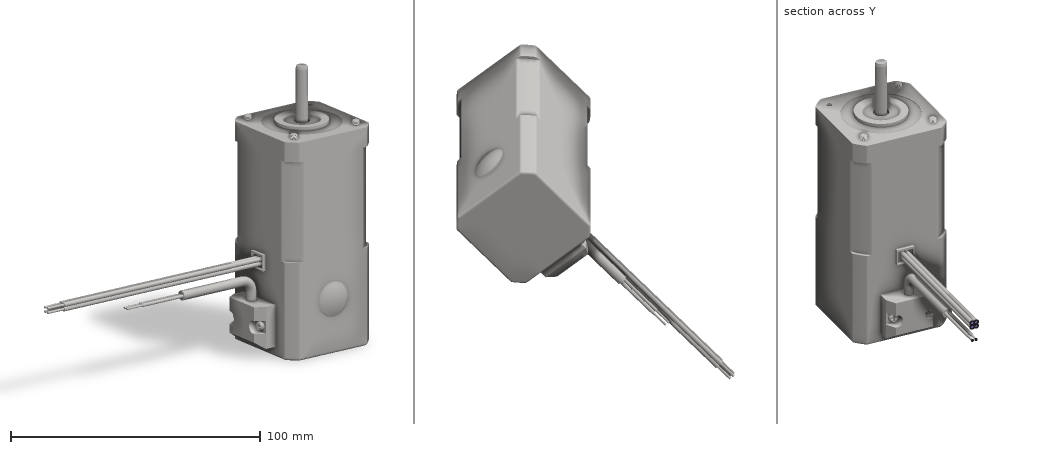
import cadquery as cq
import math


overall_length = 150.4

housing_width = 42.3
housing_face = housing_width / 2
end_cap_corner_radius = 26.9
stator_corner_radius = 25.7
outline_fillet = 1.4

rear_cover_top = 31.9
end_cap_top = 41.4
stator_top = 83.9
flange_top = 92.2
bottom_fillet = 1.0

sunk_face_radius = 16.2
sunk_face_depth = 0.3
pilot_radius = 11.0
pilot_height = 1.4
pilot_top = flange_top + pilot_height
recess_top_radius = 8.0
recess_floor_radius = 7.0
recess_depth = 0.8
shaft_hole_radius = 3.3
shaft_hole_depth = 1.5
bolt_offset = 15.5
thread_major_radius = 1.5
thread_minor_radius = 1.2
thread_pitch = 0.5
thread_turns = 4

shaft_radius = 2.5
shaft_top = 116.1
shaft_chamfer_height = 1.2
shaft_chamfer_width = 0.3
shaft_flat_length = 15.0
shaft_flat_distance = 2.0
shaft_seat = 75.2

dome_height = 1.7
dome_base_radius = 7.4
dome_center_z = 23.0

grommet_width = 7.8
grommet_bottom = 34.5
grommet_depth = 1.4
grommet_wall = 0.5
grommet_top_wall = 0.9

lead_pitch = 1.8
lead_radius = 0.98
lead_conductor_radius = 0.53
lead_bundle_z = 37.8
lead_insulation_end = -119.7
lead_conductor_end = housing_face + dome_height - overall_length

box_width = 21.4
box_bottom = 4.2
box_top = 22.0
box_front = -30.1
box_bevel_start = -25.9
side_bevel = 2.4
bottom_bevel = 2.9
box_screw_offset = 7.7
box_screw_z = 13.4
screw_pocket_radius = 2.7
screw_head_radius = 2.0
screw_head_height = 1.7
screw_head_fillet = 0.8
cross_length = 3.0
cross_width = 0.8
cross_depth = 0.8

cable_radius = 2.03
cable_bend_radius = 4.8
cable_rise_y = -25.3
cable_run_z = 30.7
cable_jacket_end = -60.2
core_pitch = 1.7
core_radius = 0.69
core_insulation_end = -80.3
core_conductor_radius = 0.5
core_conductor_end = -88.0


def housing_section(bottom, top, corner_radius):
    """Square prism with its corners turned round and the meeting edges softened."""
    height = top - bottom
    square = cq.Workplane("XY").box(housing_width, housing_width, height, centered=(True, True, False))
    turned = cq.Workplane("XY").circle(corner_radius).extrude(height)
    section = square.intersect(turned).edges("|Z").fillet(outline_fillet)
    return section.translate((0, 0, bottom))


def disc(radius, bottom, top):
    """Cylinder about the motor axis."""
    return cq.Workplane("XY").workplane(offset=bottom).circle(radius).extrude(top - bottom)


def rod_along_y(radius, x, z, y_start, y_end):
    """Round rod running toward -Y from y_start to y_end."""
    return (
        cq.Workplane("XZ", origin=(0, y_start, 0))
        .center(x, z)
        .circle(radius)
        .extrude(y_start - y_end)
    )


def thread_form():
    """Rod with ring-shaped thread ridges, standing on Z = 0."""
    points = [(0, 0), (thread_minor_radius, 0)]
    for turn in range(thread_turns):
        ridge_base = turn * thread_pitch
        points.append((thread_major_radius, ridge_base + thread_pitch / 2))
        points.append((thread_minor_radius, ridge_base + thread_pitch))
    points.append((0, thread_turns * thread_pitch))
    return cq.Workplane("XZ").polyline(points).close().revolve(360, (0, 0), (0, 1))


def front_flange():
    """Flange with its sunk face, pilot boss, recess and shaft hole."""
    flange = housing_section(stator_top, flange_top, end_cap_corner_radius)
    flange = flange.cut(disc(sunk_face_radius, flange_top - sunk_face_depth, flange_top))
    flange = flange.union(disc(pilot_radius, stator_top, pilot_top))
    recess_floor = pilot_top - recess_depth
    recess = (
        cq.Workplane("XY")
        .workplane(offset=recess_floor)
        .circle(recess_floor_radius)
        .workplane(offset=recess_depth)
        .circle(recess_top_radius)
        .loft()
    )
    flange = flange.cut(recess)
    return flange.cut(disc(shaft_hole_radius, recess_floor - shaft_hole_depth, pilot_top))


def mounting_threads(flange):
    """Three threaded studs stand on the flange; the -X +Y corner is a tapped hole."""
    form = thread_form()
    for x_side, y_side in ((-1, -1), (1, -1), (1, 1)):
        stud = form.translate((x_side * bolt_offset, y_side * bolt_offset, flange_top))
        flange = flange.union(stud)
    hole_bottom = flange_top - thread_turns * thread_pitch
    return flange.cut(form.translate((-bolt_offset, bolt_offset, hole_bottom)))


def output_shaft():
    """Shaft with a tapered tip and a drive flat on its +Y side."""
    shaft = disc(shaft_radius, shaft_seat, shaft_top)
    shaft = shaft.faces(">Z").chamfer(shaft_chamfer_height, shaft_chamfer_width)
    flat = (
        cq.Workplane("XY")
        .box(2 * shaft_radius, shaft_radius, shaft_flat_length, centered=(True, False, False))
        .translate((0, shaft_flat_distance, shaft_top - shaft_flat_length))
    )
    return shaft.cut(flat)


def face_domes():
    """Spheres buried in the rear cover so that only shallow caps show."""
    sphere_radius = (dome_base_radius**2 + dome_height**2) / (2 * dome_height)
    center = housing_face + dome_height - sphere_radius
    sphere = cq.Workplane("XY").sphere(sphere_radius)
    return sphere.translate((center, 0, dome_center_z)), sphere.translate((0, center, dome_center_z))


def grommet():
    """Open rectangular frame around the motor leads."""
    frame = (
        cq.Workplane("XY")
        .box(grommet_width, grommet_depth, end_cap_top - grommet_bottom, centered=(True, False, False))
        .translate((0, -housing_face - grommet_depth, grommet_bottom))
    )
    opening_bottom = grommet_bottom + grommet_wall
    opening_height = end_cap_top - grommet_top_wall - opening_bottom
    opening = (
        cq.Workplane("XY")
        .box(grommet_width - 2 * grommet_wall, grommet_depth, opening_height, centered=(True, False, False))
        .translate((0, -housing_face - grommet_depth, opening_bottom))
    )
    return frame.cut(opening)


def insulated_wire(x, z, y_start, radius, insulation_end, conductor_radius, conductor_end):
    """Insulated wire with its bare conductor showing at the end."""
    insulation = rod_along_y(radius, x, z, y_start, insulation_end)
    return insulation.union(rod_along_y(conductor_radius, x, z, y_start, conductor_end))


def motor_leads():
    """Four leads leaving the housing face through the grommet."""
    leads = cq.Workplane("XY")
    lead_start = -housing_face + lead_radius
    for x_side in (-0.5, 0.5):
        for z_side in (-0.5, 0.5):
            lead = insulated_wire(
                x_side * lead_pitch, lead_bundle_z + z_side * lead_pitch, lead_start, lead_radius,
                lead_insulation_end, lead_conductor_radius, lead_conductor_end,
            )
            leads = leads.union(lead)
    return leads


def box_screw():
    """Round-edged screw head with a cross recess, rising toward -Y from the origin."""
    head = cq.Workplane("XZ").circle(screw_head_radius).extrude(screw_head_height)
    head = head.faces("<Y").edges().fillet(screw_head_fillet)
    slots = cq.Workplane("XZ", origin=(0, cross_depth - screw_head_height, 0))
    for width, height in ((cross_length, cross_width), (cross_width, cross_length)):
        head = head.cut(slots.rect(width, height).extrude(cross_depth))
    return head


def connector_box():
    """Box beveled at both sides and the bottom, with a screw in each side pocket."""
    half_width = box_width / 2
    plan = [
        (-half_width, -housing_face), (-half_width, box_bevel_start), (-half_width + side_bevel, box_front),
        (half_width - side_bevel, box_front), (half_width, box_bevel_start), (half_width, -housing_face),
    ]
    profile = [
        (-housing_face, box_bottom), (box_bevel_start, box_bottom), (box_front, box_bottom + bottom_bevel),
        (box_front, box_top), (-housing_face, box_top),
    ]
    body = cq.Workplane("XY").workplane(offset=box_bottom).polyline(plan).close().extrude(box_top - box_bottom)
    side = cq.Workplane("YZ").polyline(profile).close().extrude(half_width, both=True)
    body = body.intersect(side)
    pocket_depth = box_bevel_start - box_front
    for x_side in (-1, 1):
        screw_x = x_side * box_screw_offset
        pocket = rod_along_y(screw_pocket_radius, screw_x, box_screw_z, box_bevel_start, box_front)
        side_opening = (
            cq.Workplane("XZ", origin=(0, box_bevel_start, 0))
            .center(x_side * (box_screw_offset + half_width) / 2, box_screw_z)
            .rect(half_width - box_screw_offset, 2 * screw_pocket_radius)
            .extrude(pocket_depth)
        )
        body = body.cut(pocket).cut(side_opening)
        body = body.union(box_screw().translate((screw_x, box_bevel_start, box_screw_z)))
    return body


def cable():
    """Jacketed cable that rises from the box, bends and runs toward -Y with two cores."""
    bend_start_z = cable_run_z - cable_bend_radius
    bend_end_y = cable_rise_y - cable_bend_radius
    diagonal = cable_bend_radius * math.sqrt(0.5)
    bend_middle = (bend_end_y + diagonal, bend_start_z + diagonal)
    path = (
        cq.Workplane("YZ")
        .moveTo(cable_rise_y, box_top - cable_radius)
        .lineTo(cable_rise_y, bend_start_z)
        .threePointArc(bend_middle, (bend_end_y, cable_run_z))
        .lineTo(cable_jacket_end, cable_run_z)
    )
    start = cq.Workplane("XY", origin=(0, cable_rise_y, box_top - cable_radius))
    jacket = start.circle(cable_radius).sweep(path)
    core_start = cable_jacket_end + cable_radius
    for side in (-0.5, 0.5):
        core = insulated_wire(
            side * core_pitch, cable_run_z, core_start, core_radius,
            core_insulation_end, core_conductor_radius, core_conductor_end,
        )
        jacket = jacket.union(core)
    return jacket


rear_cover = housing_section(0, rear_cover_top, end_cap_corner_radius).faces("<Z").edges().fillet(bottom_fillet)
end_cap = housing_section(rear_cover_top, end_cap_top, end_cap_corner_radius)
stator = housing_section(end_cap_top, stator_top, stator_corner_radius)
flange = mounting_threads(front_flange())

front_body = stator.union(flange)

result = rear_cover
for component in (
    *face_domes(), end_cap, front_body, output_shaft(), grommet(), motor_leads(), connector_box(), cable(),
):
    result = result.union(component, clean=False)